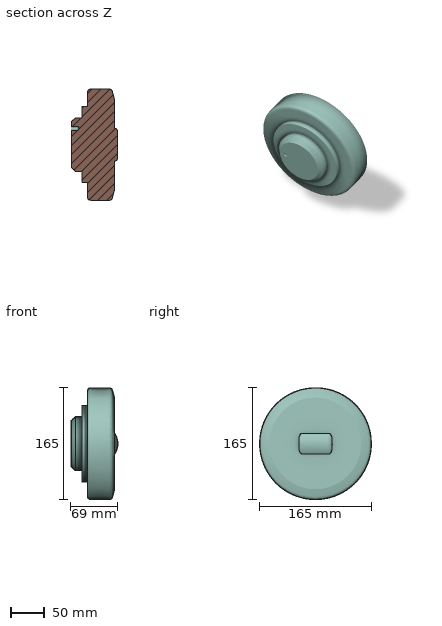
import cadquery as cq
import math

total_length = 69.0
wheel_radius = 82.5

nose_radius = 40.0
nose_face_radius = 34.0
nose_bevel_length = 6.5
flange_start = 15.8
flange_radius = 56.5

wheel_start = 24.0
wheel_end = 64.0
wheel_edge_radius = 5.0
rear_face_radius = 67.6
rear_cone_angle = 15.0

key_crown_radius = 26.2
key_length = 49.5
key_end_radius = 5.6

hole_offset = 24.1
hole_mouth_radius = 3.0
hole_radius = 2.5
hole_depth = 9.9
hole_point_angle = 118.0


def make_body():
    """Revolve the hub and wheel, then round the wheel rims."""
    rear_cone_length = (wheel_radius - rear_face_radius) * math.tan(math.radians(rear_cone_angle))
    profile = (
        cq.Workplane("XY")
        .moveTo(0, 0)
        .lineTo(0, nose_face_radius)
        .lineTo(nose_bevel_length, nose_radius)
        .lineTo(flange_start, nose_radius)
        .lineTo(flange_start, flange_radius)
        .lineTo(wheel_start, flange_radius)
        .lineTo(wheel_start, wheel_radius)
        .lineTo(wheel_end - rear_cone_length, wheel_radius)
        .lineTo(wheel_end, rear_face_radius)
        .lineTo(wheel_end, 0)
        .close()
    )
    body = profile.revolve(360, (0, 0, 0), (1, 0, 0))
    rims = cq.selectors.RadiusNthSelector(-1)
    return body.edges(rims).fillet(wheel_edge_radius)


def make_key():
    """Cylinder along Y with rounded ends, sunk so that only its crown shows."""
    return (
        cq.Workplane("XZ")
        .center(total_length - key_crown_radius, 0)
        .circle(key_crown_radius)
        .extrude(key_length / 2, both=True)
        .edges("%CIRCLE")
        .fillet(key_end_radius)
    )


def make_hole():
    """Drilled hole with a bevelled mouth and a conical bottom."""
    mouth_bevel = hole_mouth_radius - hole_radius
    point_length = hole_radius / math.tan(math.radians(hole_point_angle / 2))
    return (
        cq.Workplane("XY")
        .moveTo(0, 0)
        .lineTo(0, hole_mouth_radius)
        .lineTo(mouth_bevel, hole_radius)
        .lineTo(hole_depth, hole_radius)
        .lineTo(hole_depth + point_length, 0)
        .close()
        .revolve(360, (0, 0, 0), (1, 0, 0))
        .translate((0, hole_offset, 0))
    )


result = make_body().union(make_key()).cut(make_hole())